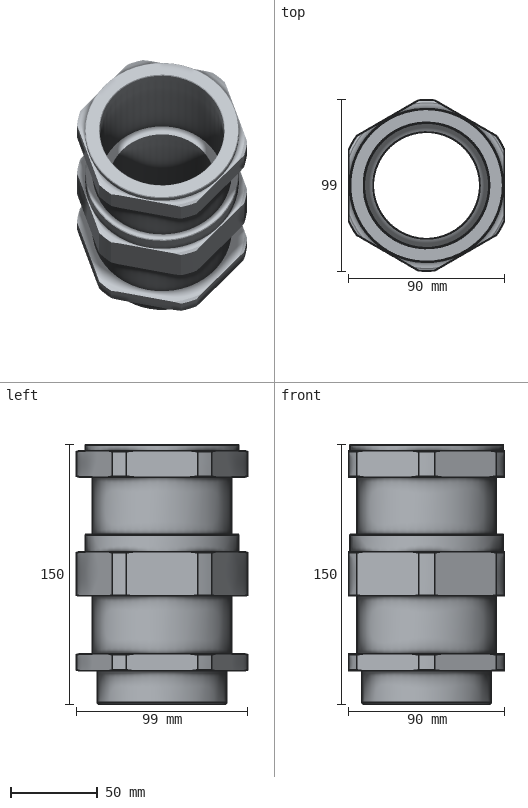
import cadquery as cq
import math

spigot_top = 19.4
lower_nut_top = 29.1
middle_nut_bottom = 62.5
middle_nut_top = 88.0
middle_collar_top = 98.1
upper_nut_bottom = 131.2
upper_nut_top = 146.4
overall_height = 150.0

across_flats = 90.0
across_corners = 99.0
collar_diameter = 88.8
body_diameter = 80.7
spigot_diameter = 75.0

bore_diameter = 61.5
entry_diameter = 72.0
entry_bottom = middle_nut_top

collar_chamfer = 0.5
entry_chamfer = 0.5
spigot_chamfer = 1.0
corner_chamfer_width = 1.6
corner_chamfer_height = 0.52


def cylinder(diameter, bottom, top):
    """Round section on the axis between two heights."""
    return cq.Workplane("XY").workplane(offset=bottom).circle(diameter / 2).extrude(top - bottom)


def collar(bottom, top):
    """Round shoulder with a broken upper edge."""
    return cylinder(collar_diameter, bottom, top).faces(">Z").chamfer(collar_chamfer)


def hex_nut(bottom, top):
    """Hexagon with corners on Y, turned down to a chamfered round at its corners."""
    height = top - bottom
    sharp_corner_diameter = across_flats / math.cos(math.pi / 6)
    hexagon = (
        cq.Workplane("XY")
        .workplane(offset=bottom)
        .transformed(rotate=(0, 0, 90))
        .polygon(6, sharp_corner_diameter)
        .extrude(height)
    )
    turned_blank = (
        cylinder(across_corners, bottom, top)
        .faces("<Z or >Z")
        .chamfer(corner_chamfer_height, corner_chamfer_width)
    )
    return hexagon.intersect(turned_blank)


spigot = cylinder(spigot_diameter, 0, spigot_top).faces("<Z").chamfer(spigot_chamfer)
body = cylinder(body_diameter, spigot_top, overall_height)
gland = spigot.union(body)

for nut_bottom, nut_top in (
    (spigot_top, lower_nut_top),
    (middle_nut_bottom, middle_nut_top),
    (upper_nut_bottom, upper_nut_top),
):
    gland = gland.union(hex_nut(nut_bottom, nut_top))

gland = gland.union(collar(middle_nut_top, middle_collar_top))
gland = gland.union(collar(upper_nut_top, overall_height))

through_bore = cylinder(bore_diameter, 0, overall_height)
entry_bore = cylinder(entry_diameter, entry_bottom, overall_height)
gland = gland.cut(through_bore).cut(entry_bore)
result = gland.faces(">Z").edges(cq.selectors.RadiusNthSelector(0)).chamfer(entry_chamfer)